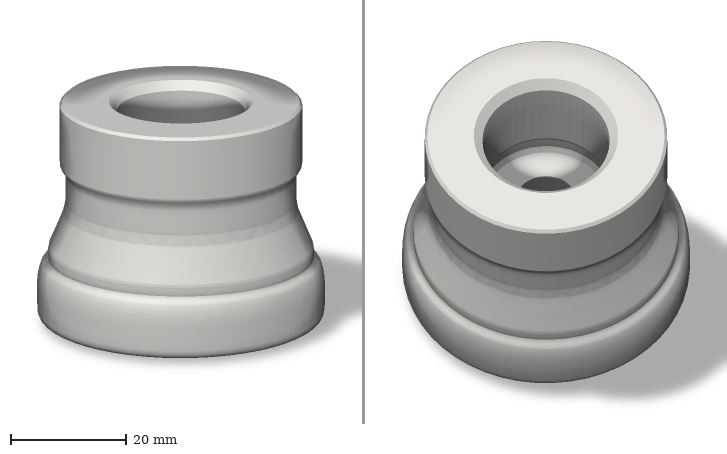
import cadquery as cq

total_height = 39.9
outer_diameter = 49.9
through_hole_diameter = 10.5

pad_height = 11.8
pad_underside_radius = 20.15
pad_toe_radius = 24.55
pad_toe_height = 1.45
pad_widest_height = 4.0
pad_shoulder_radius = 24.4
pad_shoulder_height = 10.3

head_radius = 42.0 / 2
head_edge_chamfer = 0.5
head_bottom_height = 28.8
neck_radius = 40.0 / 2
undercut_top_radius = 20.65
undercut_top_height = 28.1
neck_top_height = 26.55
cone_top_height = 21.0
skirt_radius = 23.0
skirt_top_height = 13.65
neck_fillet = 5.0
skirt_fillet = 1.5
selection_tolerance = 0.005

bore_radius = 22.0 / 2
bore_depth = 18.45
bore_mouth_chamfer = 1.5
bore_land_depth = 15.1
relief_radius = 22.5 / 2
relief_taper_height = 0.6
bore_floor_radius = 10.45


def make_through_hole():
    return cq.Workplane("XY").circle(through_hole_diameter / 2).extrude(total_height)


def make_pad():
    """Turned foot with a smooth rounded wall running from underside to top."""
    widest_point = (outer_diameter / 2, pad_widest_height)
    wall_points = [
        (pad_toe_radius, pad_toe_height),
        widest_point,
        (pad_shoulder_radius, pad_shoulder_height),
        (skirt_radius, pad_height),
    ]
    underside_direction = (3, 1)
    vertical_direction = (0, 1)
    shoulder_direction = (-1, 3)
    top_direction = (-1, 1)
    profile = (
        cq.Workplane("XZ")
        .lineTo(pad_underside_radius, 0)
        .spline(
            wall_points,
            tangents=[
                underside_direction,
                None,
                vertical_direction,
                shoulder_direction,
                top_direction,
            ],
            includeCurrent=True,
        )
        .lineTo(0, pad_height)
        .close()
    )
    return profile.revolve(360, (0, 0), (0, 1)).cut(make_through_hole())


def make_housing_blank():
    """Turned outside: head, undercut neck and flared skirt with blended ends."""
    profile = (
        cq.Workplane("XZ")
        .moveTo(0, pad_height)
        .lineTo(skirt_radius, pad_height)
        .lineTo(skirt_radius, skirt_top_height)
        .lineTo(neck_radius, cone_top_height)
        .lineTo(neck_radius, neck_top_height)
        .tangentArcPoint((undercut_top_radius, undercut_top_height), relative=False)
        .tangentArcPoint((head_radius, head_bottom_height), relative=False)
        .lineTo(head_radius, total_height)
        .lineTo(0, total_height)
        .close()
    )
    blank = profile.revolve(360, (0, 0), (0, 1))
    blank = blank.edges(circle_at(cone_top_height)).fillet(neck_fillet)
    blank = blank.edges(circle_at(skirt_top_height)).fillet(skirt_fillet)
    return blank.faces(">Z").edges().chamfer(head_edge_chamfer)


def circle_at(height):
    """Selector for the circular edge at a given height."""
    reach = outer_diameter
    low_corner = (-reach, -reach, height - selection_tolerance)
    high_corner = (reach, reach, height + selection_tolerance)
    return cq.selectors.BoxSelector(low_corner, high_corner)


def make_bore():
    """Blind bore with a mouth chamfer, a wider relief and a chamfered floor."""
    floor_height = total_height - bore_depth
    relief_top_height = total_height - bore_land_depth
    floor_chamfer = relief_radius - bore_floor_radius
    profile = (
        cq.Workplane("XZ")
        .moveTo(0, floor_height)
        .lineTo(bore_floor_radius, floor_height)
        .lineTo(relief_radius, floor_height + floor_chamfer)
        .lineTo(relief_radius, relief_top_height - relief_taper_height)
        .lineTo(bore_radius, relief_top_height)
        .lineTo(bore_radius, total_height - bore_mouth_chamfer)
        .lineTo(bore_radius + bore_mouth_chamfer, total_height)
        .lineTo(0, total_height)
        .close()
    )
    return profile.revolve(360, (0, 0), (0, 1))


def make_housing():
    return make_housing_blank().cut(make_bore()).cut(make_through_hole())


pad = make_pad()
housing = make_housing()
result = cq.Compound.makeCompound([pad.val(), housing.val()])